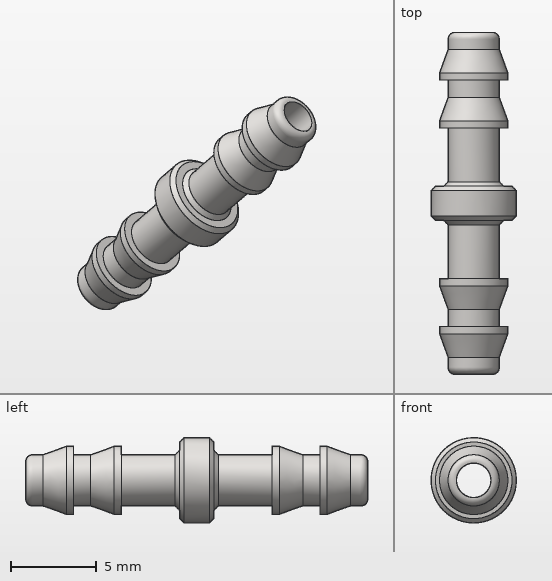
import cadquery as cq
import math

length = 20.0
bore_radius = 1.0
tube_radius = 1.5
tip_fillet = 0.4

barb_radius = 2.0
barb_angle = 20.0
barb_length = 1.8
first_barb_inset = 1.0
barb_pitch = 2.8
barbs_per_end = 2

collar_radius = 2.5
collar_width = 2.0
collar_chamfer = 0.25
collar_root = 0.25

end_y = length / 2
cone_length = (barb_radius - tube_radius) / math.tan(math.radians(barb_angle))


def revolve_profile(points):
    """Revolve a closed (radius, y) outline about the Y axis."""
    return cq.Workplane("XY").polyline(points).close().revolve(360, (0, 0, 0), (0, 1, 0))


def make_tube():
    tube = cq.Workplane("XZ").circle(tube_radius).extrude(end_y, both=True)
    return tube.faces("<Y or >Y").edges().fillet(tip_fillet)


def make_collar():
    root_y = collar_width / 2 + collar_root
    side_y = collar_width / 2
    rim_y = side_y - collar_chamfer
    upper_half = [
        (tube_radius, root_y),
        (tube_radius + collar_root, side_y),
        (collar_radius - collar_chamfer, side_y),
        (collar_radius, rim_y),
    ]
    lower_half = [(radius, -y) for radius, y in reversed(upper_half)]
    return revolve_profile([(0, root_y)] + upper_half + lower_half + [(0, -root_y)])


def make_barb(tip_y):
    """Barb on the +Y end whose cone starts at tip_y."""
    land_y = tip_y - cone_length
    shoulder_y = tip_y - barb_length
    return revolve_profile([
        (0, tip_y),
        (tube_radius, tip_y),
        (barb_radius, land_y),
        (barb_radius, shoulder_y),
        (0, shoulder_y),
    ])


body = make_tube().union(make_collar())
for index in range(barbs_per_end):
    barb = make_barb(end_y - first_barb_inset - index * barb_pitch)
    body = body.union(barb).union(barb.mirror("XZ"))

bore = cq.Workplane("XZ").circle(bore_radius).extrude(end_y, both=True)
result = body.cut(bore)